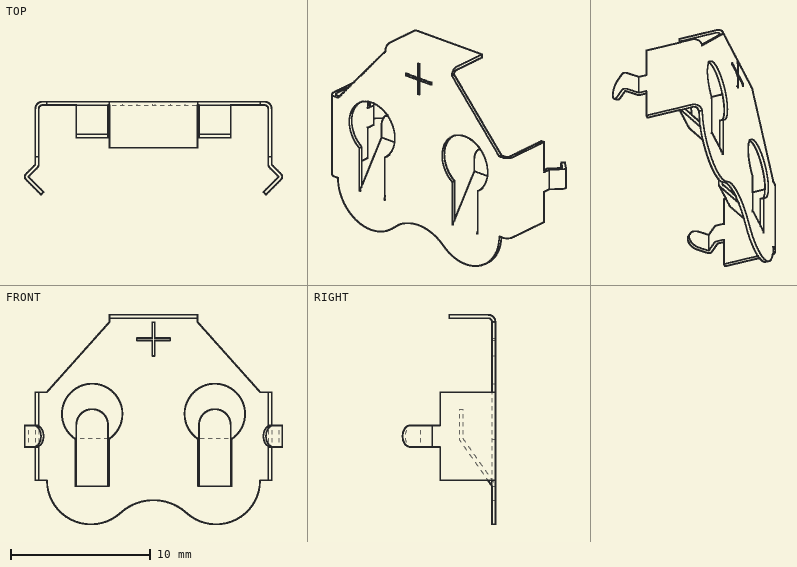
import cadquery as cq
import math

overall_width = 18.53
overall_height = 15.08
thickness = 0.26
bend_inner_radius = thickness
bend_outer_radius = bend_inner_radius + thickness

shoulder_half_width = 7.67
lobe_radius = 3.17
waist_height = 1.75
top_width = 6.34
top_bend_height = overall_height - bend_outer_radius

top_tab_depth = 3.34

arm_width = 6.35
arm_bottom = lobe_radius
arm_middle = arm_bottom + arm_width / 2
arm_outer_half_width = 8.5
arm_bend_start = arm_outer_half_width - bend_outer_radius
arm_depth = 3.98
finger_width = 1.55
finger_root_length = 0.55
finger_flare_angle = 45.0
finger_tip_length = 0.78

window_offset = 4.41
window_radius = 2.17
window_height = 7.95
slot_width = 2.4
tongue_width = 2.3
tongue_root_height = 2.76
tongue_bend_height = 6.19
tongue_tip_height = 8.3
tongue_depth = 2.61

mark_height = 13.32
mark_length = 2.4
mark_line_width = 0.17


def straight(length):
    """Flat stretch of a strip."""
    return length, 0.0, 0.0


def bend(angle, inner_radius=0.0):
    """Bend of a strip in degrees, positive to the left; zero inner radius leaves a sharp inside corner."""
    return 0.0, angle, inner_radius


def moved(point, heading, distance):
    """Point reached from another by going a distance along a heading in degrees."""
    angle = math.radians(heading)
    return point[0] + distance * math.cos(angle), point[1] + distance * math.sin(angle)


def bent_strip(plane, width, start, heading, steps, rounded_end=False):
    """Sheet strip centred on the plane, whose section starts with its right-hand face at a given point."""
    right = start
    left = moved(right, heading + 90, thickness)
    right_edges = [(None, right)]
    left_edges = [(None, left)]
    for length, angle, inner_radius in steps:
        if angle == 0:
            right = moved(right, heading, length)
            left = moved(left, heading, length)
            right_edges.append((None, right))
            left_edges.append((None, left))
            continue
        side = math.copysign(90, angle)
        inner_face = left if angle > 0 else right
        pivot = moved(inner_face, heading + side, inner_radius)
        right_radius = inner_radius + (thickness if angle > 0 else 0)
        left_radius = inner_radius + (thickness if angle < 0 else 0)
        middle_direction = heading - side + angle / 2
        end_direction = heading - side + angle
        right = moved(pivot, end_direction, right_radius)
        left = moved(pivot, end_direction, left_radius)
        if right_radius > 0:
            right_edges.append((moved(pivot, middle_direction, right_radius), right))
        if left_radius > 0:
            left_edges.append((moved(pivot, middle_direction, left_radius), left))
        heading += angle

    section = cq.Workplane(plane).moveTo(*start)
    for middle, end in right_edges[1:]:
        section = section.threePointArc(middle, end) if middle else section.lineTo(*end)
    section = section.lineTo(*left)
    for (middle, _), (_, end) in zip(left_edges[:0:-1], left_edges[-2::-1]):
        section = section.threePointArc(middle, end) if middle else section.lineTo(*end)
    strip = section.close().extrude(width / 2, both=True)

    if rounded_end:
        ahead = plane.toWorldCoords(moved(right, heading, 0.19)) - plane.toWorldCoords(right)
        across = plane.toWorldCoords(left) - plane.toWorldCoords(right)
        cap_plane = cq.Plane(origin=plane.toWorldCoords(right), xDir=ahead, normal=across)
        cap = (
            cq.Workplane(cap_plane)
            .moveTo(0, -width / 2)
            .threePointArc((width / 2, 0), (0, width / 2))
            .close()
            .extrude(thickness)
        )
        strip = strip.union(cap)
    return strip


def section_across_x(x):
    """Plane with Y and Z as its axes."""
    return cq.Plane(origin=(x, 0, 0), xDir=(0, 1, 0), normal=(1, 0, 0))


def section_across_z(z):
    """Plane with X and Y as its axes."""
    return cq.Plane(origin=(0, 0, z), xDir=(1, 0, 0), normal=(0, 0, 1))


def plate():
    """Flat back with two round lobes joined by a tangent concave waist, ending at the bend lines."""
    lobe_x = shoulder_half_width - lobe_radius
    lobe_z = lobe_radius
    rise = lobe_z - waist_height
    waist_radius = (lobe_x**2 + rise**2 - lobe_radius**2) / (2 * (lobe_radius - rise))
    waist_z = waist_height - waist_radius
    share = lobe_radius / (lobe_radius + waist_radius)
    touch_x = lobe_x * (1 - share)
    touch_z = lobe_z + (waist_z - lobe_z) * share
    arm_top = arm_bottom + arm_width
    return (
        cq.Workplane("XZ")
        .moveTo(-top_width / 2, top_bend_height)
        .lineTo(top_width / 2, top_bend_height)
        .lineTo(shoulder_half_width, arm_top)
        .lineTo(arm_bend_start, arm_top)
        .lineTo(arm_bend_start, arm_bottom)
        .lineTo(shoulder_half_width, arm_bottom)
        .threePointArc((lobe_x, 0), (touch_x, touch_z))
        .threePointArc((0, waist_height), (-touch_x, touch_z))
        .threePointArc((-lobe_x, 0), (-shoulder_half_width, arm_bottom))
        .lineTo(-arm_bend_start, arm_bottom)
        .lineTo(-arm_bend_start, arm_top)
        .lineTo(-shoulder_half_width, arm_top)
        .close()
        .extrude(thickness)
    )


def window(x):
    """Round window running down into the slot the tongue is bent out of."""
    slot_height = window_height - tongue_root_height
    hole = cq.Workplane("XZ").center(x, window_height).circle(window_radius).extrude(thickness)
    slot = (
        cq.Workplane("XZ")
        .center(x, tongue_root_height + slot_height / 2)
        .rect(slot_width, slot_height)
        .extrude(thickness)
    )
    return hole.union(slot)


def polarity_mark():
    """Cutter for the plus sign."""
    face = cq.Workplane("XZ").center(0, mark_height)
    level = face.rect(mark_length, mark_line_width).extrude(thickness)
    upright = face.rect(mark_line_width, mark_length).extrude(thickness)
    return level.union(upright)


def top_tab():
    """Tab bent forward over the top edge."""
    steps = [bend(90, bend_inner_radius), straight(top_tab_depth - bend_outer_radius)]
    return bent_strip(section_across_x(0), top_width, (0, top_bend_height), 90, steps)


def tongue(x):
    """Contact tongue: a ramp rising forward from the plate, then an upright flat with a round tip."""
    pivot_advance = tongue_depth - 2 * thickness
    pivot_rise = tongue_bend_height - tongue_root_height
    pivot_distance = math.hypot(pivot_advance, pivot_rise)
    ramp_angle = math.degrees(math.atan2(pivot_advance, pivot_rise) + math.asin(thickness / pivot_distance))
    ramp_length = math.sqrt(pivot_distance**2 - thickness**2)
    flat_length = tongue_tip_height - tongue_width / 2 - tongue_bend_height
    steps = [bend(ramp_angle), straight(ramp_length), bend(-ramp_angle), straight(flat_length)]
    return bent_strip(section_across_x(x), tongue_width, (0, tongue_root_height), 90, steps, rounded_end=True)


def right_arm():
    """Arm bent forward from the plate, with a narrow finger that flares out and hooks back in."""
    arm_steps = [bend(-90, bend_inner_radius), straight(arm_depth - bend_outer_radius)]
    plane = section_across_z(arm_middle)
    arm = bent_strip(plane, arm_width, (arm_bend_start, -thickness), 0, arm_steps)

    flare = math.radians(finger_flare_angle)
    elbow_x = overall_width / 2 - thickness
    flare_start_x = arm_outer_half_width - thickness * math.cos(flare)
    flare_length = (elbow_x - flare_start_x) / math.sin(flare)
    finger_steps = [
        straight(finger_root_length),
        bend(finger_flare_angle),
        straight(flare_length),
        bend(-2 * finger_flare_angle),
        straight(finger_tip_length),
    ]
    finger_start = (arm_outer_half_width - thickness, -arm_depth)
    finger = bent_strip(plane, finger_width, finger_start, -90, finger_steps, rounded_end=True)
    return arm.union(finger)


arm = right_arm()
result = plate().cut(polarity_mark()).union(top_tab()).union(arm).union(arm.mirror("YZ"))
for window_x in (-window_offset, window_offset):
    result = result.cut(window(window_x)).union(tongue(window_x))